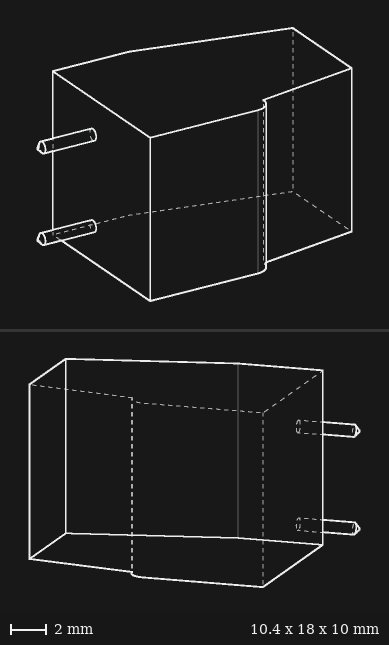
import cadquery as cq


HOUSING_WIDTH = 10.4
HOUSING_LENGTH = 14.4
HOUSING_HEIGHT = 10.0
PIN_LINE_OFFSET = 4.3

LEFT_TAPER_START = 5.0
LEFT_TAPER_INSET = 2.05
SHOULDER_LENGTH = 8.0
SHOULDER_RADIUS = 1.0
RIGHT_TAPER_INSET = 1.05

PIN_PITCH = 5.6
PIN_COUNT = 2
PIN_DIAMETER = 0.7
PIN_LENGTH = 3.6
PIN_TIP_CHAMFER = 0.3


def make_housing():
    """Prism with a tapered nose and a rounded shoulder on the +X side."""
    left = -PIN_LINE_OFFSET
    right = left + HOUSING_WIDTH
    shoulder_inner = right - SHOULDER_RADIUS
    nose_right = shoulder_inner - RIGHT_TAPER_INSET
    return (
        cq.Workplane("XY")
        .workplane(offset=-HOUSING_HEIGHT / 2)
        .moveTo(left, 0)
        .lineTo(right, 0)
        .lineTo(right, SHOULDER_LENGTH - SHOULDER_RADIUS)
        .radiusArc((shoulder_inner, SHOULDER_LENGTH), -SHOULDER_RADIUS)
        .lineTo(nose_right, HOUSING_LENGTH)
        .lineTo(left + LEFT_TAPER_INSET, HOUSING_LENGTH)
        .lineTo(left, LEFT_TAPER_START)
        .close()
        .extrude(HOUSING_HEIGHT)
    )


def make_pin(z):
    """Round pin with a chamfered tip, standing out from the mounting face towards -Y."""
    return (
        cq.Workplane("XZ")
        .center(0, z)
        .circle(PIN_DIAMETER / 2)
        .extrude(PIN_LENGTH)
        .faces("<Y")
        .chamfer(PIN_TIP_CHAMFER)
    )


housing = make_housing()

pins = []
for index in range(PIN_COUNT):
    pin_z = (index - (PIN_COUNT - 1) / 2) * PIN_PITCH
    pins.append(make_pin(pin_z))

result = cq.Compound.makeCompound([housing.val(), *[pin.val() for pin in pins]])